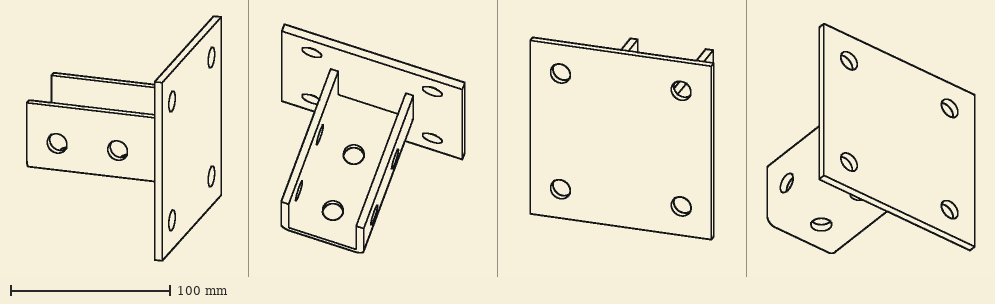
import cadquery as cq

plate_side = 120.0
plate_thickness = 5.0
plate_hole_spacing = 80.0

total_length = 100.0
channel_length = total_length - plate_thickness
channel_width = 55.0
channel_height = 45.0
wall = 5.0
inner_bend_radius = 1.2
outer_bend_radius = inner_bend_radius + wall

hole_diameter = 13.0
first_hole_x = 20.0
channel_hole_spacing = 40.0
side_hole_below_rim = 25.0

channel_bottom = -channel_height / 2
channel_top = channel_height / 2
hole_xs = [first_hole_x, first_hole_x + channel_hole_spacing]


def make_plate():
    """Square plate with a hole near each corner."""
    return (
        cq.Workplane("YZ", origin=(channel_length, 0, 0))
        .rect(plate_side, plate_side)
        .extrude(plate_thickness)
        .faces("<X")
        .workplane(origin=(channel_length, 0, 0))
        .rect(plate_hole_spacing, plate_hole_spacing, forConstruction=True)
        .vertices()
        .hole(hole_diameter)
    )


def bar_with_rounded_bottom(width, bottom, radius):
    """Bar from the given bottom up to the channel rim, lower long edges rounded."""
    height = channel_top - bottom
    return (
        cq.Workplane("XY", origin=(0, 0, bottom))
        .rect(channel_length, width)
        .extrude(height)
        .edges("|X and <Z")
        .fillet(radius)
        .translate((channel_length / 2, 0, 0))
    )


def make_channel():
    """Bent U-channel with two holes through each wall and through the floor."""
    outside = bar_with_rounded_bottom(channel_width, channel_bottom, outer_bend_radius)
    inside = bar_with_rounded_bottom(
        channel_width - 2 * wall, channel_bottom + wall, inner_bend_radius
    )
    side_hole_z = channel_top - side_hole_below_rim
    side_holes = (
        cq.Workplane("XZ")
        .pushPoints([(x, side_hole_z) for x in hole_xs])
        .circle(hole_diameter / 2)
        .extrude(channel_width, both=True)
    )
    floor_holes = (
        cq.Workplane("XY")
        .pushPoints([(x, 0) for x in hole_xs])
        .circle(hole_diameter / 2)
        .extrude(-channel_height)
    )
    return outside.cut(inside).cut(side_holes).cut(floor_holes)


result = make_plate().union(make_channel())